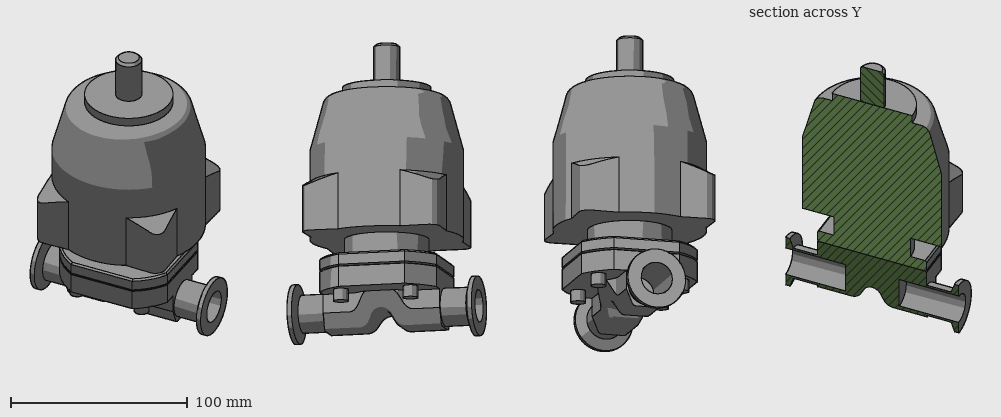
import cadquery as cq
import math

pipe_axis_z = 17.0
body_bottom_z = 5.1
ledge_z = 14.8
body_flange_z = 25.5
bonnet_z = 37.2
neck_z = 45.0
housing_z = 57.5
ear_top_z = 89.8
cone_z = 108.6
disc_z = 139.8
spindle_z = 145.0
top_z = 169.7

flange_half_width = 34.1
flange_corner_radius = 39.2
bonnet_chamfer = 1.0

neck_diameter = 48.0
housing_diameter = 87.0
shoulder_radius = 35.0
shoulder_fillet = 6.1
disc_diameter = 50.0
spindle_diameter = 15.0
spindle_chamfer = 1.5
ear_side_half = 39.0
ear_corner_half = 40.2
ear_fillet = 6.1
ear_slope = 30.0

block_half_width = 12.0
bulge_half_width = 16.8
bulge_half_length = 18.5
bulge_bend_x = 12.0
bulge_crest_x = 5.6
flank_top_half_width = 16.5
bottom_fillet = 2.5

notch_top_z = 15.3
notch_top_radius = 5.8
notch_mouth_radius = 6.8
notch_mouth_half = 13.0

pipe_end_x = 54.0
pipe_diameter = 21.7
bore_diameter = 18.3
bore_end_x = 17.0
ferrule_diameter = 34.0
ferrule_rim = 2.7
ferrule_length = 5.0

bolt_diameter = 8.5
bolt_end_z = 18.8
bolt_x = 20.4
bolt_y = 24.5


def cylinder(diameter, z_low, z_high):
    return cq.Workplane("XY", origin=(0, 0, z_low)).circle(diameter / 2).extrude(z_high - z_low)


def flange_plate(z_low, z_high):
    """Square plate whose corners are cut round by a cylinder on the axis."""
    side = 2 * flange_half_width
    height = z_high - z_low
    square = cq.Workplane("XY", origin=(0, 0, z_low)).rect(side, side).extrude(height)
    return square.intersect(cylinder(2 * flange_corner_radius, z_low, z_high))


def make_ears():
    """Four corner ears: one concave-sided square under a conical top."""
    a = ear_side_half
    c = ear_corner_half
    outline = [(a, 0), (c, c), (0, a), (-c, c), (-a, 0), (-c, -c), (0, -a), (c, -c)]
    prism = cq.Workplane("XY", origin=(0, 0, housing_z)).polyline(outline).close()
    prism = prism.extrude(ear_top_z - housing_z)
    for x in (-c, c):
        for y in (-c, c):
            corner = cq.selectors.NearestToPointSelector((x, y, (housing_z + ear_top_z) / 2))
            prism = prism.edges("|Z").edges(corner).fillet(ear_fillet)
    inner_radius = housing_diameter / 2
    outer_radius = math.sqrt(2) * c
    outer_z = ear_top_z - (outer_radius - inner_radius) * math.tan(math.radians(ear_slope))
    cone_profile = [
        (0, housing_z),
        (outer_radius, housing_z),
        (outer_radius, outer_z),
        (inner_radius, ear_top_z),
        (0, ear_top_z),
    ]
    cone = cq.Workplane("XZ").polyline(cone_profile).close().revolve(360, (0, 0), (0, 1))
    return prism.intersect(cone)


def make_housing():
    radius = housing_diameter / 2
    profile = [(0, housing_z), (radius, housing_z), (radius, cone_z), (shoulder_radius, disc_z), (0, disc_z)]
    shell = cq.Workplane("XZ").polyline(profile).close().revolve(360, (0, 0), (0, 1))
    return shell.faces(">Z").edges().fillet(shoulder_fillet)


def make_spindle():
    """Plain stem standing on the disc."""
    spindle = cylinder(spindle_diameter, spindle_z, top_z)
    return spindle.faces(">Z").chamfer(spindle_chamfer)


def make_actuator():
    bonnet = flange_plate(bonnet_z, neck_z).faces("<Z or >Z").chamfer(bonnet_chamfer)
    neck = cylinder(neck_diameter, neck_z, housing_z)
    disc = cylinder(disc_diameter, disc_z, spindle_z)
    return bonnet.union(neck).union(make_housing()).union(make_ears()).union(disc)


def bend_midpoint(start, end, flat_at_start):
    """Middle point of an arc that runs along X at one of its two ends."""
    flat, other = (start, end) if flat_at_start else (end, start)
    dx = other[0] - flat[0]
    dy = other[1] - flat[1]
    radius = (dx * dx + dy * dy) / (2 * abs(dy))
    half_turn = math.atan2(abs(dy), abs(dx))
    x = flat[0] + math.copysign(radius * math.sin(half_turn), dx)
    y = flat[1] + math.copysign(radius * (1 - math.cos(half_turn)), dy)
    return (x, y)


def make_bulge():
    """Swelling around the weir, with an S-curve at each end of both sides."""
    bend_y = (block_half_width + bulge_half_width) / 2
    foot = (-bulge_half_length, block_half_width)
    bend = (-bulge_bend_x, bend_y)
    crest = (-bulge_crest_x, bulge_half_width)
    quarter = (
        cq.Workplane("XY", origin=(0, 0, body_bottom_z))
        .moveTo(-bulge_half_length, 0)
        .lineTo(*foot)
        .threePointArc(bend_midpoint(foot, bend, True), bend)
        .threePointArc(bend_midpoint(bend, crest, False), crest)
        .lineTo(0, bulge_half_width)
        .lineTo(0, 0)
        .close()
        .extrude(body_flange_z - body_bottom_z)
    )
    half = quarter.union(quarter.mirror("YZ"))
    return half.union(half.mirror("XZ"))


def make_flank_wedge():
    """Long prism whose flanks lean inward towards the bottom."""
    lean = (flank_top_half_width - block_half_width) / (body_flange_z - ledge_z)
    bottom_half = block_half_width - lean * (ledge_z - body_bottom_z)
    outline = [
        (-bottom_half, body_bottom_z),
        (bottom_half, body_bottom_z),
        (flank_top_half_width, body_flange_z),
        (-flank_top_half_width, body_flange_z),
    ]
    return cq.Workplane("YZ").polyline(outline).close().extrude(flange_half_width, both=True)


def make_notch():
    """Arched channel across the underside, with rounded mouth edges."""
    mouth_centre_z = body_bottom_z + notch_mouth_radius
    top_centre_z = notch_top_z - notch_top_radius

    centre_rise = mouth_centre_z - top_centre_z
    centre_distance = math.hypot(notch_mouth_half, centre_rise)
    centre_angle = math.atan2(notch_mouth_half, centre_rise)
    turn = centre_angle - math.acos((notch_top_radius + notch_mouth_radius) / centre_distance)

    def mouth_point(angle):
        x = notch_mouth_half - notch_mouth_radius * math.sin(angle)
        return (x, mouth_centre_z - notch_mouth_radius * math.cos(angle))

    def top_point(angle):
        return (notch_top_radius * math.sin(angle), top_centre_z + notch_top_radius * math.cos(angle))

    def left(point):
        return (-point[0], point[1])

    return (
        cq.Workplane("XZ")
        .moveTo(*left(mouth_point(0)))
        .threePointArc(left(mouth_point(turn / 2)), left(mouth_point(turn)))
        .lineTo(*left(top_point(turn)))
        .threePointArc(top_point(0), top_point(turn))
        .lineTo(*mouth_point(turn))
        .threePointArc(mouth_point(turn / 2), mouth_point(0))
        .close()
        .extrude(flange_half_width, both=True)
    )


def make_block():
    """Block below the flange, with its lower edges rounded along the underside and the notch."""
    wedge = make_flank_wedge().cut(make_notch())
    lower_edges = cq.selectors.BoxSelector(
        (-bulge_half_length - notch_mouth_half, -bulge_half_width, 0),
        (bulge_half_length + notch_mouth_half, bulge_half_width, notch_top_z + bottom_fillet),
    )
    wedge = wedge.edges(lower_edges).fillet(bottom_fillet)
    straight = (
        cq.Workplane("XY", origin=(0, 0, body_bottom_z))
        .rect(2 * flange_half_width, 2 * block_half_width)
        .extrude(body_flange_z - body_bottom_z)
    )
    return wedge.intersect(straight.union(make_bulge()))


def make_pipe_end():
    """Pipe on the -X side with its clamp ferrule."""
    root = flange_half_width
    profile = [
        (-root, 0),
        (-root, pipe_diameter / 2),
        (ferrule_length - pipe_end_x, pipe_diameter / 2),
        (ferrule_rim - pipe_end_x, ferrule_diameter / 2),
        (-pipe_end_x, ferrule_diameter / 2),
        (-pipe_end_x, 0),
    ]
    plane = cq.Workplane("XZ", origin=(0, 0, pipe_axis_z))
    return plane.polyline(profile).close().revolve(360, (0, 0), (1, 0))


def make_bore():
    """Blind bore from the -X end towards the weir."""
    plane = cq.Workplane("YZ", origin=(-pipe_end_x, 0, pipe_axis_z))
    return plane.circle(bore_diameter / 2).extrude(pipe_end_x - bore_end_x)


def make_bolt_ends():
    return (
        cq.Workplane("XY", origin=(0, 0, bolt_end_z))
        .rect(2 * bolt_x, 2 * bolt_y, forConstruction=True)
        .vertices()
        .circle(bolt_diameter / 2)
        .extrude(body_flange_z - bolt_end_z)
    )


def make_body():
    body = flange_plate(body_flange_z, bonnet_z).union(make_block()).union(make_bolt_ends())
    pipe_end = make_pipe_end()
    bore = make_bore()
    body = body.union(pipe_end).union(pipe_end.mirror("YZ"))
    return body.cut(bore).cut(bore.mirror("YZ"))


actuator = make_actuator()
spindle = make_spindle()
body = make_body()

result = cq.Compound.makeCompound([actuator.val(), spindle.val(), body.val()])